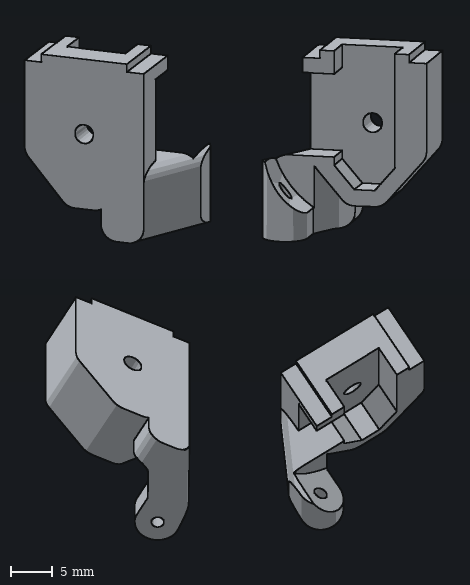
import cadquery as cq
import math

height = 22.45
block_width = 15.3
block_depth = 8.0
block_bottom = 3.61
corner_radius = 2.0
slope_run = 5.5
slope_rise = 6.3
tab_width = 11.0
tab_height = 0.99
mid_x = block_width / 2
shoulder = height - tab_height

plate = 4.0
pocket_width = 7.47
floor_wall = 2.0

lintel_height = 2.83

pivot_z = 13.04
pivot_diameter = 2.33

foot_width = 5.5
arm_height = 9.47
arm_slope = 2.0
arm_bend_y = 8.21
arm_right = block_width + arm_bend_y / arm_slope
pad_radius = foot_width / 2
pad_x = arm_right - pad_radius
pad_y = 11.0
pad_hole_diameter = 1.5
clearance_radius = 11.67

foot_left = block_width - foot_width
arm_left = arm_right - foot_width
arm_root_x = arm_left - (arm_bend_y - plate) / arm_slope


def extrude_back(outline, depth):
    """Extrude an XZ outline from the front face towards +Y."""
    return outline.extrude(-depth)


def make_block():
    slope_top = block_bottom + slope_rise
    outline = cq.Workplane("XZ").polyline([
        (0, shoulder),
        (0, slope_top),
        (slope_run, block_bottom),
        (block_width - slope_run, block_bottom),
        (block_width, slope_top),
        (block_width, shoulder),
    ]).close()
    body = extrude_back(outline, block_depth)
    lower = cq.selectors.BoxSelector(
        (-0.22, -0.22, block_bottom - 0.22), (block_width + 0.22, block_depth + 0.22, slope_top + 0.22))
    body = body.edges("|Y").edges(lower).fillet(corner_radius)
    tab = cq.Workplane("XY").box(tab_width, block_depth, tab_height, centered=(True, False, False))
    return body.union(tab.translate((mid_x, 0, shoulder)))


def make_pocket():
    slope_angle = math.atan2(slope_rise, slope_run)
    floor_z = block_bottom + floor_wall
    floor_half = mid_x - slope_run - floor_wall * math.tan(slope_angle / 2)
    half = pocket_width / 2
    side_z = floor_z + (half - floor_half) * math.tan(slope_angle)
    outline = cq.Workplane("XZ", origin=(mid_x, plate, 0)).polyline([
        (-half, height),
        (-half, side_z),
        (-floor_half, floor_z),
        (floor_half, floor_z),
        (half, side_z),
        (half, height),
    ]).close()
    return extrude_back(outline, block_depth - plate)


def make_side_opening():
    opening_height = height - lintel_height - arm_height
    opening = cq.Workplane("XY").box(mid_x, block_depth - plate, opening_height, centered=False)
    return opening.translate((mid_x, plate, arm_height))


def make_foot():
    foot = cq.Workplane("XY").box(foot_width, plate, shoulder, centered=False)
    foot = foot.edges("|Y and <Z").fillet(corner_radius)
    return foot.translate((foot_left, 0, 0))


def make_arm():
    plan = (
        cq.Workplane("XY")
        .moveTo(foot_left, 0)
        .lineTo(block_width, 0)
        .lineTo(arm_right, arm_bend_y)
        .lineTo(arm_right, pad_y)
        .threePointArc((pad_x, pad_y + pad_radius), (arm_left, pad_y))
        .lineTo(arm_left, arm_bend_y)
        .lineTo(arm_root_x, plate)
        .lineTo(foot_left, plate)
        .close()
        .extrude(arm_height)
    )
    root = cq.selectors.BoxSelector(
        (arm_root_x - 0.22, plate - 0.22, -0.22), (arm_root_x + 0.22, plate + 0.22, arm_height + 0.22))
    plan = plan.edges("|Z").edges(root).fillet(corner_radius)

    slab_size = 2 * height
    slab = cq.Workplane("XY").box(slab_size, slab_size, arm_height, centered=(True, False, False))
    slab = slab.edges("|X and <Y").fillet(corner_radius)
    slant = math.degrees(math.atan(arm_slope))
    slab = slab.rotate((0, 0, 0), (0, 0, 1), slant).translate((block_width, 0, 0))
    arm = plan.intersect(slab)

    root_block = cq.Workplane("XY").box(slab_size, slab_size, arm_height, centered=False)
    root_block = root_block.edges("|Y and <X and <Z").fillet(corner_radius)
    return arm.intersect(root_block.translate((foot_left, 0, 0)))


def make_pad_clearance():
    outline = cq.Workplane("XZ", origin=(mid_x, block_depth, pivot_z)).circle(clearance_radius)
    return extrude_back(outline, block_depth)


def make_pad_hole():
    return cq.Workplane("XY").center(pad_x, pad_y).circle(pad_hole_diameter / 2).extrude(arm_height)


def make_pivot_hole():
    outline = cq.Workplane("XZ").center(mid_x, pivot_z).circle(pivot_diameter / 2)
    return extrude_back(outline, block_depth)


arm = make_arm().cut(make_pad_clearance()).cut(make_pad_hole())
body = make_block().union(make_foot()).union(arm)
result = body.cut(make_pocket()).cut(make_side_opening()).cut(make_pivot_hole())